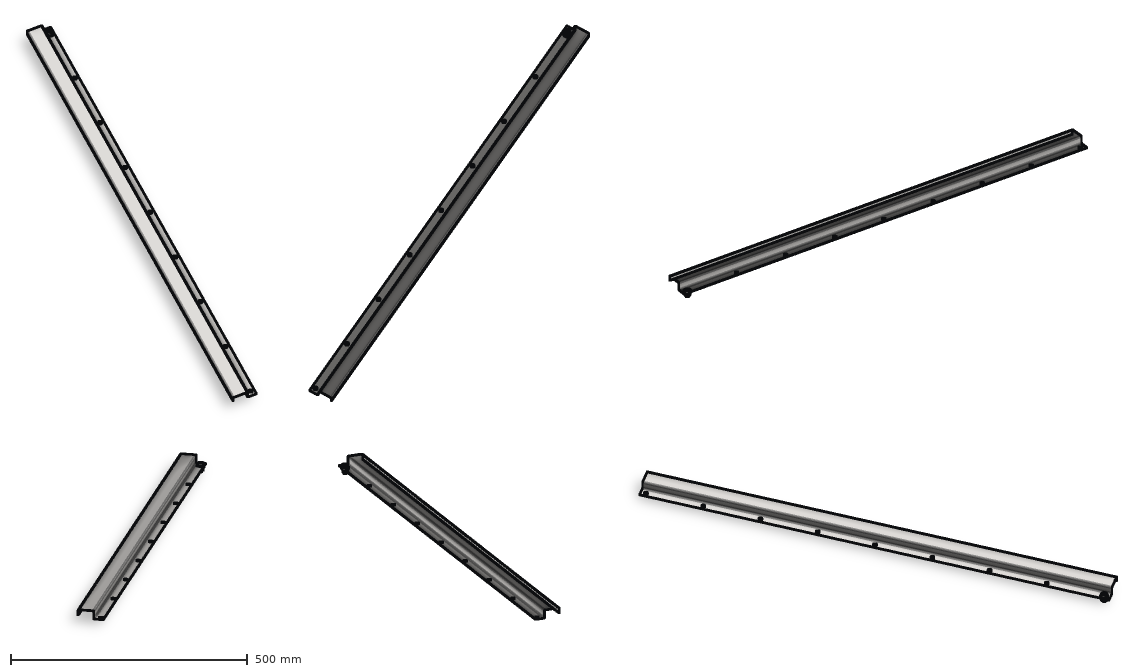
import cadquery as cq
import math

length = 1041.0
depth = 55.0
sheet = 1.6
inner_bend = 1.6
outer_bend = inner_bend + sheet
lip_height = 12.0
rail_height = 20.0
flange_depth = 20.0
top_depth = depth - flange_depth
flange_top = sheet - rail_height

hole_count = 9
hole_pitch = 127.0
hole_diameter = 7.0
hole_edge_distance = 8.0
first_hole_x = 14.0
hole_y = depth - hole_edge_distance

overall_height = 33.0
bolt_diameter = 6.0
head_diameter = 14.0
head_height = 5.0
head_rounding = 2.0
socket_width = 4.7
socket_depth = 2.6
washer_diameter = 17.0
washer_thickness = 1.7
lock_washer_diameter = 14.0
lock_washer_thickness = 1.7
nut_across_flats = 11.0
nut_thickness = 6.0
washer_top = -rail_height
lock_washer_top = washer_top - washer_thickness
nut_top = lock_washer_top - lock_washer_thickness


def make_rail():
    """Bent sheet section swept along X, with its top face at Z = 0."""
    profile = (
        cq.Workplane("YZ")
        .moveTo(0, -lip_height)
        .lineTo(0, -outer_bend)
        .radiusArc((outer_bend, 0), outer_bend)
        .lineTo(top_depth - outer_bend, 0)
        .radiusArc((top_depth, -outer_bend), outer_bend)
        .lineTo(top_depth, flange_top + inner_bend)
        .radiusArc((top_depth + inner_bend, flange_top), -inner_bend)
        .lineTo(depth, flange_top)
        .lineTo(depth, -rail_height)
        .lineTo(top_depth + inner_bend, -rail_height)
        .radiusArc((top_depth - sheet, flange_top + inner_bend), outer_bend)
        .lineTo(top_depth - sheet, -outer_bend)
        .radiusArc((top_depth - outer_bend, -sheet), -inner_bend)
        .lineTo(outer_bend, -sheet)
        .radiusArc((sheet, -outer_bend), -inner_bend)
        .lineTo(sheet, -lip_height)
        .close()
    )
    hole_centers = [(first_hole_x + i * hole_pitch, hole_y) for i in range(hole_count)]
    holes = (
        cq.Workplane("XY", origin=(0, 0, -rail_height))
        .pushPoints(hole_centers)
        .circle(hole_diameter / 2)
        .extrude(sheet)
    )
    return profile.extrude(length).cut(holes)


def fastener_plane(z):
    """Horizontal workplane centered on the first hole."""
    return cq.Workplane("XY", origin=(first_hole_x, hole_y, z))


def make_bolt():
    """Rounded head with a hexagonal socket, resting on the flange, and a plain shank."""
    head = fastener_plane(flange_top).circle(head_diameter / 2).extrude(head_height)
    head = head.faces(">Z").edges().fillet(head_rounding)
    socket = fastener_plane(flange_top + head_height).polygon(6, socket_width).extrude(-socket_depth)
    shank_length = overall_height + flange_top
    shank = fastener_plane(flange_top).circle(bolt_diameter / 2).extrude(-shank_length)
    return head.union(shank).cut(socket)


def make_washer(top, diameter, thickness):
    """Flat ring around the bolt shank, hanging down from the given height."""
    return fastener_plane(top).circle(diameter / 2).circle(bolt_diameter / 2).extrude(-thickness)


def make_nut():
    """Hexagonal nut with its flats facing the ends of the rail."""
    across_corners = nut_across_flats / math.cos(math.pi / 6)
    nut = (
        fastener_plane(nut_top)
        .transformed(rotate=(0, 0, 90))
        .polygon(6, across_corners)
        .circle(bolt_diameter / 2)
        .extrude(-nut_thickness)
    )
    return nut


rail = make_rail()
bolt = make_bolt()
washer = make_washer(washer_top, washer_diameter, washer_thickness)
lock_washer = make_washer(lock_washer_top, lock_washer_diameter, lock_washer_thickness)
nut = make_nut()

result = cq.Compound.makeCompound([rail.val(), bolt.val(), washer.val(), lock_washer.val(), nut.val()])